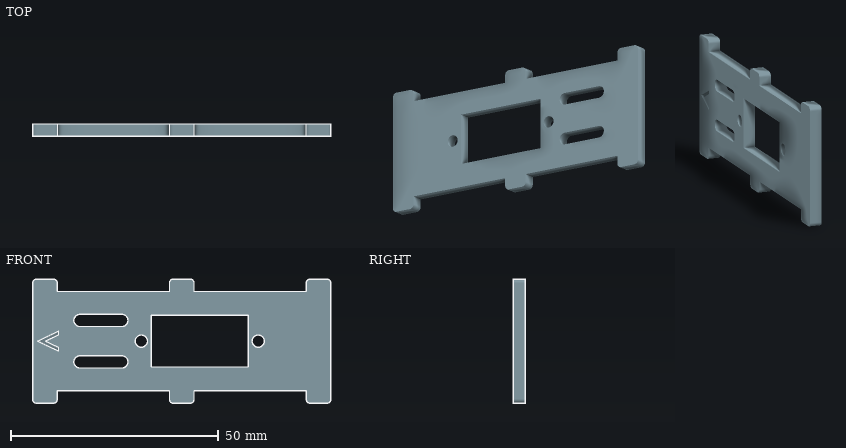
import cadquery as cq

length = 72.0
height = 30.0
thickness = 3.0

tab_width = 6.0
tab_height = 3.0
tab_corner_radius = 1.0
body_height = height - 2 * tab_height
tab_centers_x = (-(length - tab_width) / 2, 0.0, (length - tab_width) / 2)

servo_center_x = 4.35
window_length = 23.3
window_height = 12.4
screw_hole_diameter = 2.9
screw_hole_spacing = 28.2

slot_center_x = -19.5
slot_length = 13.0
slot_width = 2.9
slot_spacing = 10.0

arrow_tip_x = -34.75
arrow_length = 5.0
arrow_half_height = 2.4
arrow_end_width = 0.9
arrow_depth = 0.5


def front_plane():
    """Workplane whose normal is -Y, lying on the front face."""
    return cq.Workplane("XZ", origin=(0, -thickness / 2, 0))


def plate_with_tabs():
    """Rectangular body joined with full-height bars that form the tabs."""
    plate = cq.Workplane("XY").box(length, thickness, body_height)
    for center_x in tab_centers_x:
        bar = (
            cq.Workplane("XY")
            .box(tab_width, thickness, height)
            .edges("|Y")
            .fillet(tab_corner_radius)
            .translate((center_x, 0, 0))
        )
        plate = plate.union(bar)
    return plate


def servo_opening():
    """Through-window and its two screw holes."""
    half_spacing = screw_hole_spacing / 2
    window = (
        front_plane()
        .center(servo_center_x, 0)
        .rect(window_length, window_height)
        .extrude(-thickness)
    )
    screw_holes = (
        front_plane()
        .center(servo_center_x, 0)
        .pushPoints([(-half_spacing, 0), (half_spacing, 0)])
        .circle(screw_hole_diameter / 2)
        .extrude(-thickness)
    )
    return window.union(screw_holes)


def adjustment_slots():
    """Two parallel through-slots, mirrored about the plate's centre line."""
    return (
        front_plane()
        .center(slot_center_x, 0)
        .pushPoints([(0, -slot_spacing / 2), (0, slot_spacing / 2)])
        .slot2D(slot_length, slot_width)
        .extrude(-thickness)
    )


def direction_arrow():
    """Open chevron whose inner edges run parallel to its outer edges."""
    end_x = arrow_tip_x + arrow_length
    inner_half_height = arrow_half_height - arrow_end_width
    inner_length = arrow_length * inner_half_height / arrow_half_height
    outline = [
        (arrow_tip_x, 0),
        (end_x, arrow_half_height),
        (end_x, inner_half_height),
        (end_x - inner_length, 0),
        (end_x, -inner_half_height),
        (end_x, -arrow_half_height),
    ]
    return front_plane().polyline(outline).close().extrude(-arrow_depth)


result = (
    plate_with_tabs()
    .cut(servo_opening())
    .cut(adjustment_slots())
    .cut(direction_arrow())
)